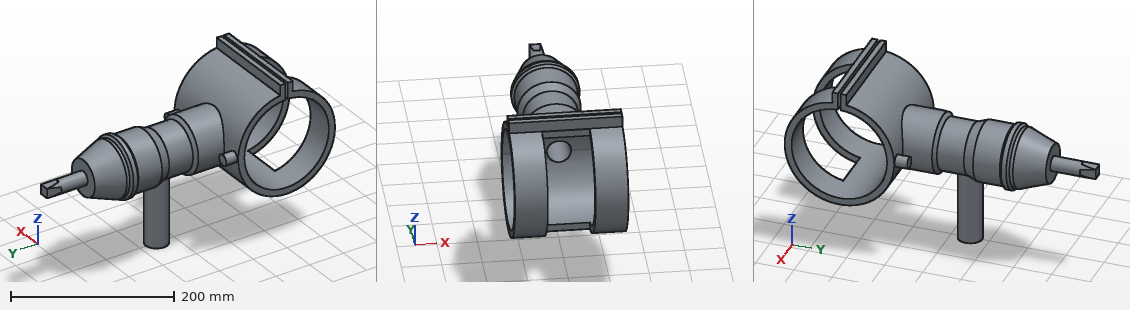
import cadquery as cq

ring_width = 140.0
ring_radius = 71.5
ring_bore_radius = 62.5
window_width = 59.0
window_face = 10.0

lug_top = 85.5
lug_face = 9.2
gap_width = 3.5

pin_radius = 7.5
pin_end = 87.8
pin_offset = 60.0

barrel_radius = 39.0
neck_radius = 34.0
collar_radius = 42.0
neck_start = 114.2
neck_end = 149.5
shoulder_length = 4.5
flare_length = 13.8
collar_start = 198.0
collar_chamfer = 3.0
collar_flat_end = 207.8
cone_start = 215.5
cone_end = 253.5
cone_end_radius = 25.3
port_radius = 15.0

stem_radius = 9.5
overall_length = 383.5
stem_end = overall_length - ring_radius
tip_length = 19.5
tip_base_width = 17.5
tip_end_width = 13.5

branch_radius = 15.7
branch_y = 145.3
branch_bottom = -126.5


def rod_along_y(radius, start, end, x=0.0):
    """Solid cylinder parallel to Y, on the plane z = 0."""
    return cq.Workplane(cq.Solid.makeCylinder(
        radius, end - start, cq.Vector(x, start, 0), cq.Vector(0, 1, 0)))


def rod_along_x(radius, length):
    """Solid cylinder on the X axis, centred on the origin."""
    return cq.Workplane("YZ", origin=(-length / 2, 0, 0)).circle(radius).extrude(length)


def block(width, y_min, y_max, z_min, z_max):
    """Box centred on x = 0."""
    return (
        cq.Workplane("XY")
        .box(width, y_max - y_min, z_max - z_min, centered=(True, False, False))
        .translate((0, y_min, z_min))
    )


def make_ring_blank():
    ring = rod_along_x(ring_radius, ring_width)
    lugs = block(ring_width, -lug_face, lug_face, 0, lug_top)
    return ring.union(lugs)


def make_valve_body():
    profile = [
        (0, 0),
        (barrel_radius, 0),
        (barrel_radius, neck_start - shoulder_length),
        (neck_radius, neck_start),
        (neck_radius, neck_end),
        (barrel_radius, neck_end + flare_length),
        (barrel_radius, collar_start),
        (collar_radius, collar_start + collar_chamfer),
        (collar_radius, collar_flat_end),
        (barrel_radius, collar_flat_end + collar_chamfer),
        (barrel_radius, cone_start),
        (cone_end_radius, cone_end),
        (0, cone_end),
    ]
    return cq.Workplane("XY").polyline(profile).close().revolve(360, (0, 0, 0), (0, 1, 0))


def make_stem():
    tip_start = stem_end - tip_length
    shaft = rod_along_y(stem_radius, cone_end, tip_start)
    square = (
        cq.Workplane("XZ", origin=(0, tip_start, 0))
        .rect(tip_base_width, tip_base_width)
        .workplane(offset=-tip_length)
        .rect(tip_end_width, tip_end_width)
        .loft()
    )
    tip = square.intersect(rod_along_y(stem_radius, tip_start, stem_end))
    return shaft.union(tip)


def make_branch():
    return (
        cq.Workplane("XY", origin=(0, branch_y, branch_bottom))
        .circle(branch_radius)
        .extrude(-branch_bottom)
    )


part = make_ring_blank().union(make_valve_body()).union(make_branch()).union(make_stem())
for side in (-1, 1):
    part = part.union(rod_along_y(pin_radius, 0, pin_end, side * pin_offset))

bore = rod_along_x(ring_bore_radius, ring_width)
gap = block(ring_width, -gap_width / 2, gap_width / 2, 0, lug_top)
window = block(window_width, -ring_radius, -window_face, -ring_radius, lug_top)
port = rod_along_y(port_radius, 0, branch_y)
result = part.cut(bore).cut(gap).cut(window).cut(port)